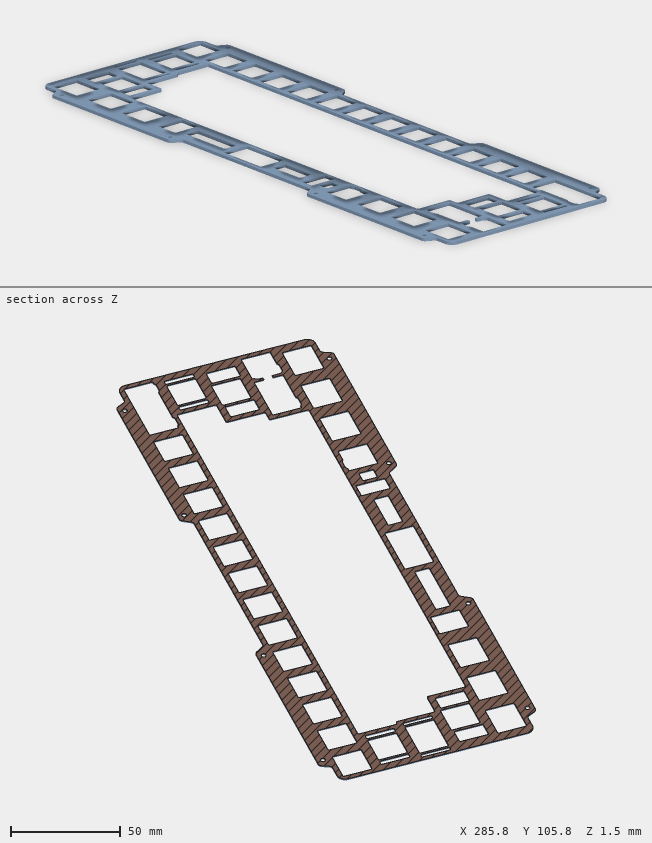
import cadquery as cq

KEY_PITCH = 19.05
COLUMNS = 15
ROWS = 5
THICKNESS = 1.5
OVERALL_DEPTH = 105.8
BODY_WIDTH = COLUMNS * KEY_PITCH
BODY_DEPTH = ROWS * KEY_PITCH
BODY_CORNER_RADIUS = 4.0

EAR_OUTER_ROOT = 10.5
EAR_OUTER_TIP = 13.0
EAR_INNER_TIP = 94.8
EAR_INNER_ROOT = 98.2
EAR_BEND_RADIUS = 2.0
SCREW_INSETS = (16.15, 92.0)
SCREW_Y = 49.8
SCREW_DIAMETER = 2.0

SWITCH_SIZE = 14.0
SWITCH_CORNER_RADIUS = 0.5

STAB_WIDTH = 7.0
STAB_HEIGHT = 14.0
STAB_SHIFT = 0.75
STAB_CORNER_RADIUS = 0.5
MERGED_STAB_CORNER_RADIUS = 2.0
STAB_OFFSET_2U = 12.15
STAB_OFFSET_6U25 = 50.1
STAB_OFFSET_7U = 57.15
RIGHT_SHIFT_LINK_HEIGHT = 4.3

FLEX_SLOT_WIDTH = 2.0
FLEX_SLOT_GAP = 1.3
FLEX_SLOT_CORNER_RADIUS = 0.5
CAPS_SLOT_WIDTH = 1.5

WINDOW_HEIGHT = 7.0
WINDOW_CORNER_RADIUS = 0.5
WINDOW_SPANS = ((93.4, 120.6), (154.5, 173.1), (186.8, 192.0))

OPENING_LEFT_INSETS = (27.0, 28.7, 39.6)
OPENING_RIGHT_INSETS = (27.3, 40.0, 45.4)
OPENING_CORNER_RADIUS = 0.75

NUMBER_ROW, TAB_ROW, HOME_ROW, SHIFT_ROW, SPACE_ROW = range(ROWS)

BACKSPACE_CENTRE = 14.0
TAB_CENTRE = 0.75
BACKSLASH_CENTRE = 14.25
CAPS_CENTRES = (0.625, 0.875)
ENTER_CENTRE = 13.875
LEFT_SHIFT_CENTRE = 1.125
RIGHT_SHIFT_CENTRE = 13.625
SHORT_RIGHT_SHIFT_CENTRE = 13.125
LAST_KEY_CENTRE = COLUMNS - 0.5
SHORT_SPACE_CENTRE = 6.875
LONG_SPACE_CENTRE = 7.5

SWITCH_SPANS = {
    NUMBER_ROW: [(column + 0.5, column + 0.5) for column in range(COLUMNS - 2)]
    + [(BACKSPACE_CENTRE - 0.5, BACKSPACE_CENTRE + 0.5)],
    TAB_ROW: [(TAB_CENTRE, TAB_CENTRE), (BACKSLASH_CENTRE, BACKSLASH_CENTRE)],
    HOME_ROW: [CAPS_CENTRES, (ENTER_CENTRE, ENTER_CENTRE)],
    SHIFT_ROW: [
        (LEFT_SHIFT_CENTRE, LEFT_SHIFT_CENTRE),
        (SHORT_RIGHT_SHIFT_CENTRE, RIGHT_SHIFT_CENTRE),
        (LAST_KEY_CENTRE, LAST_KEY_CENTRE),
    ],
    SPACE_ROW: [
        (0.625, 0.75),
        (1.875, 2.0),
        (3.125, 3.25),
        (SHORT_SPACE_CENTRE, LONG_SPACE_CENTRE),
        (10.625, 10.625),
        (11.75, 11.875),
        (13.0, 13.125),
        (14.25, 14.375),
    ],
}

SEPARATE_POCKETS = (STAB_CORNER_RADIUS, STAB_CORNER_RADIUS)
MERGED_POCKETS = (MERGED_STAB_CORNER_RADIUS, MERGED_STAB_CORNER_RADIUS)
RIGHT_POCKET_MERGED = (STAB_CORNER_RADIUS, MERGED_STAB_CORNER_RADIUS)
STABILIZED_KEYS = (
    (NUMBER_ROW, BACKSPACE_CENTRE, STAB_OFFSET_2U, MERGED_POCKETS),
    (HOME_ROW, ENTER_CENTRE, STAB_OFFSET_2U, SEPARATE_POCKETS),
    (SHIFT_ROW, LEFT_SHIFT_CENTRE, STAB_OFFSET_2U, SEPARATE_POCKETS),
    (SHIFT_ROW, RIGHT_SHIFT_CENTRE, STAB_OFFSET_2U, MERGED_POCKETS),
    (SPACE_ROW, SHORT_SPACE_CENTRE, STAB_OFFSET_6U25, SEPARATE_POCKETS),
    (SPACE_ROW, LONG_SPACE_CENTRE, STAB_OFFSET_7U, RIGHT_POCKET_MERGED),
)


def key_x(pitches):
    """X of a place given in key pitches from the left edge."""
    return pitches * KEY_PITCH - BODY_WIDTH / 2


def row_y(row):
    """Y of the middle of a row, row 0 being along the far edge."""
    return BODY_DEPTH / 2 - (row + 0.5) * KEY_PITCH


def block(left, right, y_middle, height, corner_radius=0):
    """A plate-thick rectangular block, its upright edges rounded if a radius is given."""
    outline = cq.Workplane("XY").center((left + right) / 2, y_middle).rect(right - left, height)
    solid = outline.extrude(THICKNESS)
    if corner_radius:
        solid = solid.edges("|Z").fillet(corner_radius)
    return solid


def plate_blank():
    """Rectangular body with two ears on each long edge, all outline bends rounded."""
    body_x = BODY_WIDTH / 2
    body_y = BODY_DEPTH / 2
    ear_y = OVERALL_DEPTH / 2
    right_far_quarter = [
        (body_x - EAR_INNER_ROOT, body_y),
        (body_x - EAR_INNER_TIP, ear_y),
        (body_x - EAR_OUTER_TIP, ear_y),
        (body_x - EAR_OUTER_ROOT, body_y),
        (body_x, body_y),
    ]
    right_half = right_far_quarter + [(x, -y) for x, y in reversed(right_far_quarter)]
    left_half = [(-x, y) for x, y in reversed(right_half)]
    blank = cq.Workplane("XY").polyline(right_half + left_half).close().extrude(THICKNESS)
    ear_bends = blank.edges("|Z").filter(lambda edge: abs(edge.Center().x) < body_x - EAR_OUTER_ROOT / 2)
    blank = ear_bends.fillet(EAR_BEND_RADIUS)
    return blank.edges("|Z and (<X or >X)").fillet(BODY_CORNER_RADIUS)


def screw_holes():
    positions = []
    for inset in SCREW_INSETS:
        x = BODY_WIDTH / 2 - inset
        positions += [(sx * x, sy * SCREW_Y) for sx in (-1, 1) for sy in (-1, 1)]
    return cq.Workplane("XY").pushPoints(positions).circle(SCREW_DIAMETER / 2).extrude(THICKNESS)


def central_opening():
    """Opening under rows 1 to 3, stepped at each row boundary."""
    left_side = []
    right_side = []
    insets_by_row = zip((TAB_ROW, HOME_ROW, SHIFT_ROW), OPENING_LEFT_INSETS, OPENING_RIGHT_INSETS)
    for row, left_inset, right_inset in insets_by_row:
        for y in (row_y(row) + KEY_PITCH / 2, row_y(row) - KEY_PITCH / 2):
            left_side.append((left_inset - BODY_WIDTH / 2, y))
            right_side.append((BODY_WIDTH / 2 - right_inset, y))
    outline = left_side + right_side[::-1]
    opening = cq.Workplane("XY").polyline(outline).close().extrude(THICKNESS)
    return opening.edges("|Z").fillet(OPENING_CORNER_RADIUS)


def switch_cutouts():
    cutouts = []
    for row, spans in SWITCH_SPANS.items():
        for first, last in spans:
            left = key_x(first) - SWITCH_SIZE / 2
            right = key_x(last) + SWITCH_SIZE / 2
            cutouts.append(block(left, right, row_y(row), SWITCH_SIZE, SWITCH_CORNER_RADIUS))
    return cutouts


def stabilizer_cutouts():
    cutouts = []
    for row, centre, offset, corner_radii in STABILIZED_KEYS:
        shift = STAB_SHIFT if row == SPACE_ROW else -STAB_SHIFT
        y = row_y(row) + shift
        for side, corner_radius in zip((-1, 1), corner_radii):
            x = key_x(centre) + side * offset
            cutouts.append(block(x - STAB_WIDTH / 2, x + STAB_WIDTH / 2, y, STAB_HEIGHT, corner_radius))
    return cutouts


def right_shift_link():
    """Passage joining the right shift switch cutout to its right stabilizer pocket."""
    centre = key_x(RIGHT_SHIFT_CENTRE)
    return block(centre, centre + STAB_OFFSET_2U, row_y(SHIFT_ROW), RIGHT_SHIFT_LINK_HEIGHT)


def flex_slot_pair(row, first, last, width):
    """Narrow slots left and right of the cutout spanning switch centres first to last."""
    reach = SWITCH_SIZE / 2 + FLEX_SLOT_GAP
    left_end = key_x(first) - reach
    right_start = key_x(last) + reach
    y = row_y(row)
    return [
        block(left_end - width, left_end, y, SWITCH_SIZE, FLEX_SLOT_CORNER_RADIUS),
        block(right_start, right_start + width, y, SWITCH_SIZE, FLEX_SLOT_CORNER_RADIUS),
    ]


def flex_slots():
    return (
        flex_slot_pair(TAB_ROW, TAB_CENTRE, TAB_CENTRE, FLEX_SLOT_WIDTH)
        + flex_slot_pair(TAB_ROW, BACKSLASH_CENTRE, BACKSLASH_CENTRE, FLEX_SLOT_WIDTH)
        + flex_slot_pair(HOME_ROW, *CAPS_CENTRES, CAPS_SLOT_WIDTH)
    )


def windows():
    cutouts = []
    for start, end in WINDOW_SPANS:
        left = start - BODY_WIDTH / 2
        right = end - BODY_WIDTH / 2
        cutouts.append(block(left, right, row_y(SPACE_ROW), WINDOW_HEIGHT, WINDOW_CORNER_RADIUS))
    return cutouts


result = plate_blank().cut(screw_holes()).cut(central_opening()).cut(right_shift_link())
for cutout in switch_cutouts() + stabilizer_cutouts() + flex_slots() + windows():
    result = result.cut(cutout)